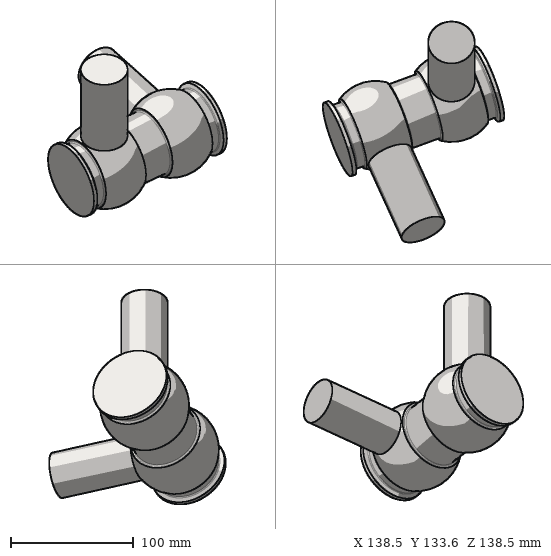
import cadquery as cq
import math

overall_size = 138.5

body_length = 133.6
body_half = body_length / 2
tube_radius = 55.7 / 2
corner_fillet = 1.0

ball_radius = 36.4
ball_half_width = 20.1
ball_offset = body_half / 2

flange_radius = 64.1 / 2
rim_thickness = 3.5
flange_slope = 20
slope_length = (flange_radius - tube_radius) * math.tan(math.radians(flange_slope))

branch_radius = 38.1 / 2
branch_length = overall_size - ball_radius


def make_tube():
    return cq.Workplane("XZ").circle(tube_radius).extrude(body_half, both=True)


def make_ball(y_center):
    face_radius = math.sqrt(ball_radius**2 - ball_half_width**2)
    return (
        cq.Workplane("XY")
        .moveTo(0, -ball_half_width)
        .lineTo(face_radius, -ball_half_width)
        .threePointArc((ball_radius, 0), (face_radius, ball_half_width))
        .lineTo(0, ball_half_width)
        .close()
        .revolve(360, (0, 0, 0), (0, 1, 0))
        .translate((0, y_center, 0))
    )


def make_flange(side):
    """Flange at the +Y end (side = 1) or the -Y end (side = -1)."""
    rim_y = body_half - rim_thickness
    neck_y = rim_y - slope_length
    return (
        cq.Workplane("XY")
        .moveTo(0, side * body_half)
        .lineTo(flange_radius, side * body_half)
        .lineTo(flange_radius, side * rim_y)
        .lineTo(tube_radius, side * neck_y)
        .lineTo(0, side * neck_y)
        .close()
        .revolve(360, (0, 0, 0), (0, 1, 0))
    )


def make_body():
    body = make_tube()
    for side in (-1, 1):
        body = body.union(make_ball(side * ball_offset))
        body = body.union(make_flange(side))

    corner_reach = tube_radius + corner_fillet
    inner_reach = body_half - rim_thickness
    corner_box = cq.selectors.BoxSelector(
        (-corner_reach, -inner_reach, -corner_reach),
        (corner_reach, inner_reach, corner_reach),
        boundingbox=True,
    )
    return body.edges("%CIRCLE").edges(corner_box).fillet(corner_fillet)


def make_branches():
    upright = cq.Workplane("XY").circle(branch_radius).extrude(branch_length)
    sideways = cq.Workplane("YZ").circle(branch_radius).extrude(-branch_length)
    return upright.translate((0, -ball_offset, 0)), sideways.translate((0, ball_offset, 0))


result = make_body()
for branch in make_branches():
    result = result.union(branch)